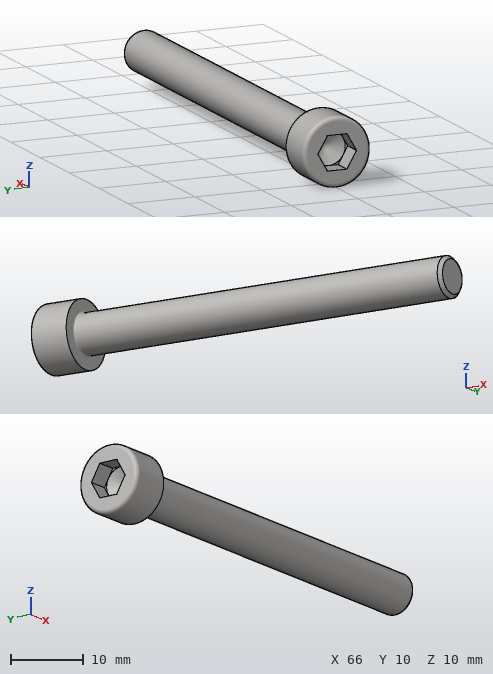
import cadquery as cq
import math

total_length = 66.0
head_diameter = 10.0
shank_diameter = 6.0
head_length = shank_diameter
head_fillet = 0.6
neck_fillet = 0.25
tip_chamfer = 0.5

hex_across_flats = 5.0
socket_depth = 3.0
drill_point_angle = 120.0


def make_head():
    head = cq.Workplane("YZ").circle(head_diameter / 2).extrude(head_length)
    return head.faces("<X").edges().fillet(head_fillet)


def make_shank():
    shank = cq.Workplane("YZ").circle(shank_diameter / 2).extrude(total_length)
    return shank.faces(">X").edges().chamfer(tip_chamfer)


def make_neck():
    """Concave fillet ring where the shank meets the underside of the head."""
    shank_radius = shank_diameter / 2
    outer_radius = shank_radius + neck_fillet
    arc_offset = neck_fillet * (1 - math.sqrt(0.5))
    profile = (
        cq.Workplane("XY")
        .moveTo(head_length, 0)
        .lineTo(head_length, outer_radius)
        .threePointArc(
            (head_length + arc_offset, shank_radius + arc_offset),
            (head_length + neck_fillet, shank_radius),
        )
        .lineTo(head_length + neck_fillet, 0)
        .close()
    )
    return profile.revolve(360, (0, 0), (1, 0))


def make_socket():
    """Hexagonal recess with flats facing up and down and a drilled conical bottom."""
    corner_diameter = hex_across_flats / math.cos(math.radians(30))
    drill_radius = hex_across_flats / 2
    cone_depth = drill_radius / math.tan(math.radians(drill_point_angle / 2))
    hexagon = cq.Workplane("YZ").polygon(6, corner_diameter).extrude(socket_depth)
    drill_point = (
        cq.Workplane("XY")
        .moveTo(socket_depth, 0)
        .lineTo(socket_depth, drill_radius)
        .lineTo(socket_depth + cone_depth, 0)
        .close()
        .revolve(360, (0, 0), (1, 0))
    )
    return hexagon.union(drill_point)


result = make_head().union(make_shank()).union(make_neck()).cut(make_socket())